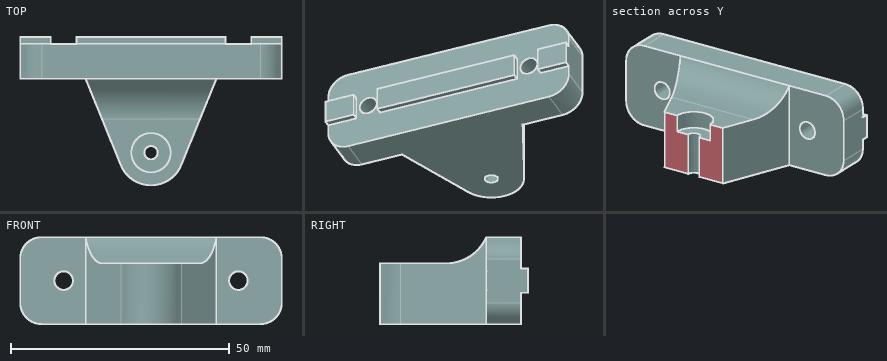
import cadquery as cq
import math

plate_length = 60.0
plate_height = 20.0
plate_thickness = 8.0
corner_radius = 5.0
screw_diameter = 4.2
screw_spacing = 40.0

rail_height = 5.6
rail_depth = 1.6
rail_gap = 5.9

arm_reach = 24.4
arm_root_width = 30.0
arm_height = 14.0
arm_end_radius = 7.5
pivot_y = arm_end_radius - arm_reach
blend_radius = 10.0

pivot_diameter = 3.0
counterbore_diameter = 9.0
counterbore_depth = 4.0

mid_height = plate_height / 2
screw_positions = [(side * screw_spacing / 2, mid_height) for side in (-1, 1)]


def make_plate():
    return (
        cq.Workplane("XY")
        .box(plate_length, plate_thickness, plate_height, centered=(True, False, False))
        .edges("|Y")
        .fillet(corner_radius)
    )


def make_rail():
    rail = cq.Workplane("XY").box(plate_length, rail_depth, rail_height)
    gaps = (
        cq.Workplane("XY")
        .pushPoints([(x, 0) for x, _ in screw_positions])
        .box(rail_gap, rail_depth, rail_height)
    )
    return rail.cut(gaps).translate((0, plate_thickness + rail_depth / 2, mid_height))


def make_arm():
    half_root = arm_root_width / 2
    root_to_pivot = math.hypot(half_root, pivot_y)
    tangent_angle = math.atan2(-pivot_y, half_root) - math.acos(arm_end_radius / root_to_pivot)
    tangent_x = arm_end_radius * math.cos(tangent_angle)
    tangent_y = pivot_y + arm_end_radius * math.sin(tangent_angle)
    body = (
        cq.Workplane("XY")
        .moveTo(-half_root, 0)
        .lineTo(-tangent_x, tangent_y)
        .threePointArc((0, -arm_reach), (tangent_x, tangent_y))
        .lineTo(half_root, 0)
        .close()
        .extrude(plate_height)
    )

    blend_center_z = arm_height + blend_radius
    blend_length = math.sqrt(blend_radius**2 - (blend_center_z - plate_height) ** 2)
    start_angle = math.asin((blend_center_z - plate_height) / blend_radius)
    middle_angle = (start_angle + math.pi / 2) / 2
    blend_middle = (
        -blend_length + blend_radius * math.cos(middle_angle),
        blend_center_z - blend_radius * math.sin(middle_angle),
    )
    space_above = (
        cq.Workplane("YZ")
        .moveTo(0, plate_height)
        .threePointArc(blend_middle, (-blend_length, arm_height))
        .lineTo(-arm_reach, arm_height)
        .lineTo(-arm_reach, plate_height)
        .close()
        .extrude(arm_root_width / 2, both=True)
    )
    return body.cut(space_above)


def cut_screw_holes(body):
    holes = (
        cq.Workplane("XZ")
        .pushPoints(screw_positions)
        .circle(screw_diameter / 2)
        .extrude(-plate_thickness)
    )
    return body.cut(holes)


def cut_pivot_hole(body):
    return (
        body.copyWorkplane(cq.Workplane("XY", origin=(0, pivot_y, arm_height)))
        .cboreHole(pivot_diameter, counterbore_diameter, counterbore_depth)
    )


result = make_plate().union(make_rail()).union(make_arm())
result = cut_screw_holes(result)
result = cut_pivot_hole(result)